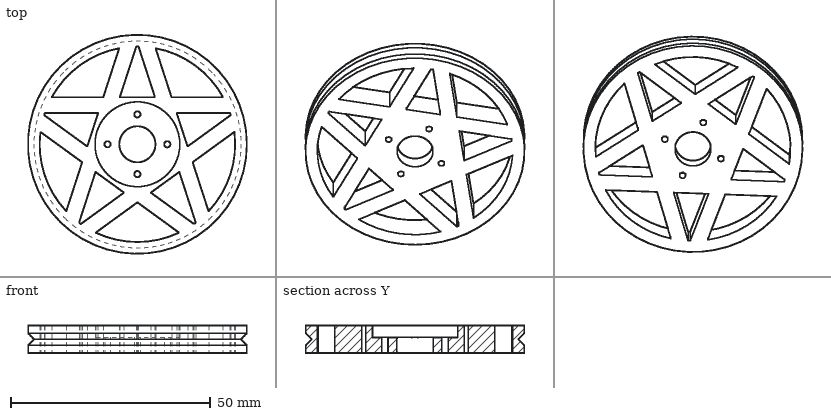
import cadquery as cq

outer_diameter = 55.0
height = 7.0
rim_thickness = 3.0

groove_width = 3.0
groove_depth = 1.5

spoke_count = 5
spoke_width = 4.0
spoke_offset = 9.82

recess_diameter = 21.3
recess_depth = 3.0
bore_diameter = 9.0
bolt_hole_diameter = 1.5
bolt_hole_count = 4
bolt_circle_radius = 7.5

outer_radius = outer_diameter / 2
window_radius = outer_radius - rim_thickness


def disc(diameter, thickness=height):
    """Plain round disc standing on the base plane."""
    return cq.Workplane("XY").circle(diameter / 2).extrude(thickness)


def grooved_disc():
    """Full-height disc with the V-groove turned into its edge."""
    half_height = height / 2
    half_groove = groove_width / 2
    profile = [
        (0, 0),
        (outer_radius, 0),
        (outer_radius, half_height - half_groove),
        (outer_radius - groove_depth, half_height),
        (outer_radius, half_height + half_groove),
        (outer_radius, height),
        (0, height),
    ]
    return cq.Workplane("XZ").polyline(profile).close().revolve(360, (0, 0), (0, 1))


def spoke(index):
    """One bar of the star, long enough to cross the whole wheel."""
    bar = cq.Workplane("XY").center(0, spoke_offset).rect(outer_diameter, spoke_width).extrude(height)
    return bar.rotate((0, 0, 0), (0, 0, 1), index * 360 / spoke_count)


def windows():
    """Openings inside the rim that are left between the hub and the spokes."""
    openings = disc(2 * window_radius).cut(disc(recess_diameter))
    for index in range(spoke_count):
        openings = openings.cut(spoke(index))
    return openings


def recess():
    """Round pocket in the top face of the hub."""
    return disc(recess_diameter, recess_depth).translate((0, 0, height - recess_depth))


def bolt_holes():
    """Through holes evenly spaced around the bore."""
    holes = cq.Workplane("XY").polarArray(bolt_circle_radius, 0, 360, bolt_hole_count)
    return holes.circle(bolt_hole_diameter / 2).extrude(height)


result = grooved_disc().cut(windows()).cut(recess()).cut(disc(bore_diameter)).cut(bolt_holes())